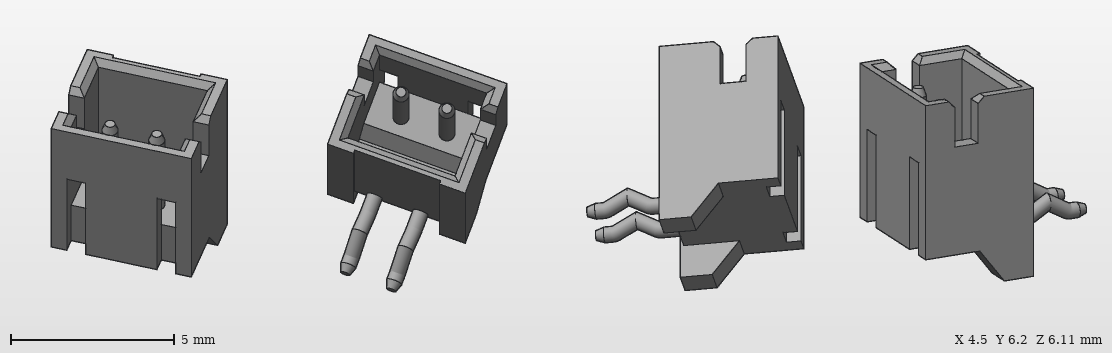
import cadquery as cq
import math

body_width = 4.5
body_depth = 3.7
body_height = 5.0
foot_drop = 1.105
foot_width = 0.85
foot_tip_depth = 1.0
foot_root_depth = 1.85
back_recess = 0.11

side_wall = 0.5
front_wall = 0.45
cavity_back = 3.25
rim_chamfer = 0.205
front_floor = 1.5
rear_floor = 1.0
step_start = 1.85
step_end = step_start + (front_floor - rear_floor) * (foot_root_depth - foot_tip_depth) / foot_drop

notch_front = 1.0
notch_back = 1.8
notch_floor = 3.5
slit_width = 0.6
slit_height = 3.0

pin_pitch = 1.5
pin_radius = 0.25
pin_tip_radius = 0.155
pin_tip_length = 0.265
pin_y = 1.25
pin_top = 4.49
tail_z = pin_radius
tail_end = 6.2
jog_start = 4.16
jog_half = 0.77
bend_radius = 0.255
jog_angle = 30


def box(x0, x1, y0, y1, z0, z1):
    return cq.Workplane("XY").box(x1 - x0, y1 - y0, z1 - z0, centered=False).translate((x0, y0, z0))


def side_prism(points, width, centre_x=0):
    """Extrude a (Y, Z) outline symmetrically along X about centre_x."""
    return cq.Workplane("YZ").polyline(points).close().extrude(width / 2, both=True).translate((centre_x, 0, 0))


def make_cavity():
    width = body_width - 2 * side_wall
    outline = [
        (front_wall, body_height),
        (front_wall, front_floor),
        (step_start, front_floor),
        (step_end, rear_floor),
        (cavity_back, rear_floor),
        (cavity_back, body_height),
    ]
    rim = (
        cq.Workplane("XY", origin=(0, (front_wall + cavity_back) / 2, body_height))
        .rect(width + 2 * rim_chamfer, cavity_back - front_wall + 2 * rim_chamfer)
        .extrude(-rim_chamfer, taper=45)
    )
    return side_prism(outline, width).union(rim)


def make_notches():
    """Both side notches, flared at the top and cut through the side walls."""
    outline = [
        (notch_front, notch_floor),
        (notch_back, notch_floor),
        (notch_back, body_height - rim_chamfer),
        (notch_back + rim_chamfer, body_height),
        (notch_front - rim_chamfer, body_height),
        (notch_front, body_height - rim_chamfer),
    ]
    return side_prism(outline, body_width)


def make_housing():
    half = body_width / 2
    housing = box(-half, half, 0, body_depth, 0, body_height)
    foot_outline = [
        (body_depth, 0),
        (body_depth, -foot_drop),
        (body_depth - foot_tip_depth, -foot_drop),
        (body_depth - foot_root_depth, 0),
    ]
    recess_half = half - foot_width
    housing = housing.cut(
        box(-recess_half, recess_half, body_depth - back_recess, body_depth, 0, body_height)
    )
    housing = housing.cut(make_cavity()).cut(make_notches())
    slit_centre = half - side_wall - slit_width / 2
    for side in (-1, 1):
        housing = housing.union(side_prism(foot_outline, foot_width, side * (half - foot_width / 2)))
        x = side * slit_centre
        housing = housing.cut(
            box(x - slit_width / 2, x + slit_width / 2, 0, front_wall, 0, slit_height)
        )
    return housing


def rod(start, direction, length, end_radius=pin_radius):
    """Round rod, tapering to end_radius when that differs from the pin radius."""
    if end_radius == pin_radius:
        solid = cq.Solid.makeCylinder(pin_radius, length, cq.Vector(*start), cq.Vector(*direction))
    else:
        solid = cq.Solid.makeCone(
            pin_radius, end_radius, length, cq.Vector(*start), cq.Vector(*direction)
        )
    return cq.Workplane(solid)


def make_jog():
    """Tail stretch that bends up to a mitred peak and back down."""
    angle = math.radians(jog_angle)
    bend = (
        cq.Workplane("XZ", origin=(0, jog_start, tail_z))
        .circle(pin_radius)
        .revolve(jog_angle, (-0.06, bend_radius), (0.06, bend_radius))
    )
    slope_start = (
        0,
        jog_start + bend_radius * math.sin(angle),
        tail_z + bend_radius * (1 - math.cos(angle)),
    )
    slope = rod(slope_start, (0, math.cos(angle), math.sin(angle)), 2 * jog_half)
    peak_y = jog_start + jog_half
    slope = slope.intersect(
        box(-pin_radius, pin_radius, jog_start, peak_y, 0, body_height)
    )
    rise = bend.union(slope)
    return rise.union(rise.mirror("XZ", (0, peak_y, 0)))


def make_pin():
    jog_end = jog_start + 2 * jog_half
    post_taper = pin_top - pin_tip_length
    tail_taper = tail_end - pin_tip_length
    pin = rod((0, pin_y, tail_z), (0, 0, 1), post_taper - tail_z)
    pin = pin.union(rod((0, pin_y, post_taper), (0, 0, 1), pin_tip_length, pin_tip_radius))
    pin = pin.union(rod((0, pin_y, tail_z), (0, 1, 0), jog_start - pin_y))
    pin = pin.union(make_jog())
    pin = pin.union(rod((0, jog_end, tail_z), (0, 1, 0), tail_taper - jog_end))
    return pin.union(rod((0, tail_taper, tail_z), (0, 1, 0), pin_tip_length, pin_tip_radius))


result = make_housing()
for pin_x in (-pin_pitch / 2, pin_pitch / 2):
    result = result.union(make_pin().translate((pin_x, 0, 0)))